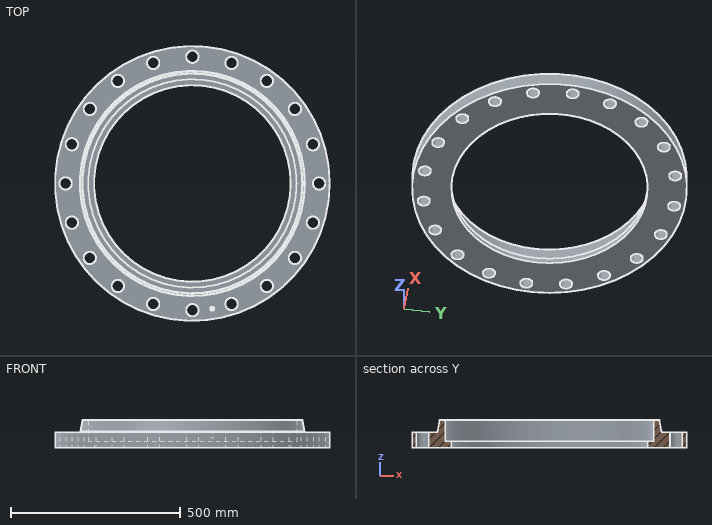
import cadquery as cq
import math

flange_diameter = 812.5
flange_thickness = 47.0
total_height = 83.0

hub_foot_radius = 333.0
hub_base_radius = 331.5
hub_top_radius = 326.0
hub_rim_radius = 324.0
foot_bevel_height = 2.5
rim_bevel_height = 1.0

bore_radius = 290.0
recess_radius = 308.0
lip_height = 20.0

bolt_count = 20
bolt_circle_radius = 375.0
bolt_hole_diameter = 36.0

pin_hole_diameter = 6.0
pin_hole_depth = 16.0
pin_counterbore_diameter = 12.0
pin_counterbore_depth = 1.0
pin_hole_angle = -90 + 180 / bolt_count


def ring_body():
    """Revolve the half section of the flange, hub and stepped bore about Z."""
    section = [
        (bore_radius, 0),
        (flange_diameter / 2, 0),
        (flange_diameter / 2, flange_thickness),
        (hub_foot_radius, flange_thickness),
        (hub_base_radius, flange_thickness + foot_bevel_height),
        (hub_top_radius, total_height - rim_bevel_height),
        (hub_rim_radius, total_height),
        (recess_radius, total_height),
        (recess_radius, lip_height),
        (bore_radius, lip_height),
    ]
    return cq.Workplane("XZ").polyline(section).close().revolve(360, (0, 0), (0, 1))


def bolt_holes():
    """Through holes evenly spaced on the bolt circle, one of them on +X."""
    return (
        cq.Workplane("XY")
        .polarArray(bolt_circle_radius, 0, 360, bolt_count)
        .circle(bolt_hole_diameter / 2)
        .extrude(flange_thickness)
    )


def pin_hole():
    """Counterbored blind hole sunk into the top face of the flange."""
    angle = math.radians(pin_hole_angle)
    center = (
        bolt_circle_radius * math.cos(angle),
        bolt_circle_radius * math.sin(angle),
        flange_thickness,
    )
    top_face = cq.Workplane("XY", origin=center)
    bore = top_face.circle(pin_hole_diameter / 2).extrude(-pin_hole_depth)
    counterbore = top_face.circle(pin_counterbore_diameter / 2).extrude(-pin_counterbore_depth)
    return bore.union(counterbore)


result = ring_body().cut(bolt_holes()).cut(pin_hole())